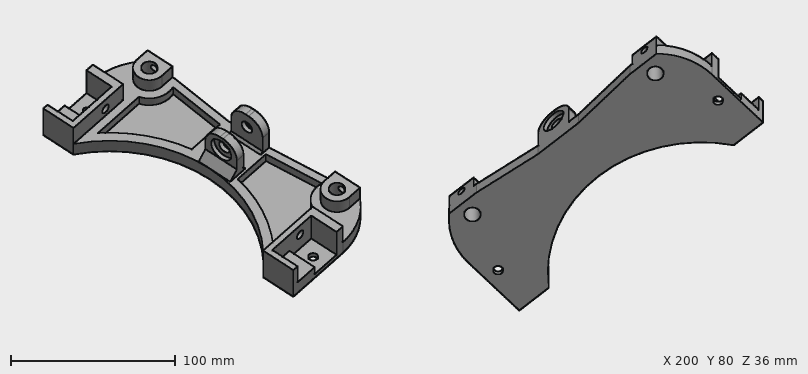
import cadquery as cq
import math

half_length = 100.0
depth = 80.0
plate_height = 10.0
waist_half_width = 16.5
waist_rear_y = 75.2
boss_flat_end_x = 63.0

box_width = 24.2
box_depth = 46.5
box_height = 24.8
box_side_wall = 4.0
box_rear_wall = 6.0
box_floor = 3.5
box_step_y = 20.0
box_step_height = 10.0
box_hole_x = 90.2
box_hole_y = 30.0
floor_hole_diameter = 6.0
wall_hole_diameter = 6.0
wall_hole_z = 16.2

boss_radius = 10.0
boss_x = 75.0
boss_y = depth - boss_radius
boss_top = 20.0
boss_hole_diameter = 10.0
cross_hole_diameter = 5.2
cross_hole_z = (plate_height + boss_top) / 2

front_apex_y = 38.8
arch_half_span = half_length - box_width
arch_radius = (arch_half_span**2 + front_apex_y**2) / (2 * front_apex_y)
arch_center_y = front_apex_y - arch_radius

corner_x = boss_x + boss_radius
corner_inset = half_length - corner_x
corner_rise = depth - box_depth
corner_radius = (corner_inset**2 + corner_rise**2) / (2 * corner_inset)

recess_floor = 3.5
recess_inner_x = 18.5
recess_outer_x = 70.2
recess_front_rim = 6.5
recess_rear_rim = 5.5
recess_boss_rim = 6.0

lug_x = 3.8
lug_width = 25.2
lug_thickness = 6.2
lug_top = 36.0
lug_corner_radius = 11.5
lug_hole_z = 24.8
lug_hole_diameter = 8.5
lug_counterbore_diameter = 16.0
lug_counterbore_depth = 1.5
front_lug_y = 45.0
rear_lug_y = waist_rear_y - lug_thickness
gusset_height = 6.0
inner_chamfer = 1.8


def block(x0, x1, y0, y1, z0, z1):
    """Box between two opposite corners."""
    return cq.Workplane("XY").box(x1 - x0, y1 - y0, z1 - z0, centered=False).translate((x0, y0, z0))


def upright_cylinder(x, y, diameter, z0, z1):
    return cq.Workplane("XY", origin=(x, y, z0)).circle(diameter / 2).extrude(z1 - z0)


def both_sides(body):
    """Body on the +X side together with its mirror image."""
    return body.union(body.mirror("YZ"))


def make_plate():
    middle_angle = math.atan2(corner_rise, corner_radius - corner_inset) / 2
    corner_middle = (
        half_length - corner_radius * (1 - math.cos(middle_angle)),
        box_depth + corner_radius * math.sin(middle_angle),
    )
    return (
        cq.Workplane("XY")
        .moveTo(-arch_half_span, 0)
        .threePointArc((0, front_apex_y), (arch_half_span, 0))
        .lineTo(half_length, 0)
        .lineTo(half_length, box_depth)
        .threePointArc(corner_middle, (corner_x, depth))
        .lineTo(boss_flat_end_x, depth)
        .lineTo(waist_half_width, waist_rear_y)
        .lineTo(-waist_half_width, waist_rear_y)
        .lineTo(-boss_flat_end_x, depth)
        .lineTo(-corner_x, depth)
        .threePointArc((-corner_middle[0], corner_middle[1]), (-half_length, box_depth))
        .lineTo(-half_length, 0)
        .close()
        .extrude(plate_height)
    )


def make_recess():
    """Recess on the +X side, bounded by rims along the plate edges and around the boss."""
    rear_slope = (depth - waist_rear_y) / (boss_flat_end_x - waist_half_width)

    def rear_y(x):
        return waist_rear_y + rear_slope * (x - waist_half_width) - recess_rear_rim

    outline = (
        cq.Workplane("XY", origin=(0, 0, recess_floor))
        .moveTo(recess_inner_x, 0)
        .lineTo(recess_outer_x, 0)
        .lineTo(recess_outer_x, rear_y(recess_outer_x))
        .lineTo(recess_inner_x, rear_y(recess_inner_x))
        .close()
        .extrude(plate_height - recess_floor)
    )
    front_rim = upright_cylinder(0, arch_center_y, 2 * (arch_radius + recess_front_rim), 0, plate_height)
    boss_rim = upright_cylinder(boss_x, boss_y, 2 * (boss_radius + recess_boss_rim), 0, plate_height)
    return outline.cut(front_rim).cut(boss_rim)


def make_boss():
    nose = upright_cylinder(boss_x, boss_y, 2 * boss_radius, 0, boss_top)
    return nose.union(block(boss_x - boss_radius, corner_x, boss_y, depth, 0, boss_top))


def make_end_box():
    """Solid block for the box on the +X end."""
    return block(half_length - box_width, half_length, 0, box_depth, 0, box_height)


def make_end_cavity():
    """Space inside the +X box: open top and outer end, stepped floor, and two holes."""
    inner_x = half_length - box_width
    cavity_x = inner_x + box_side_wall
    cavity_rear = box_depth - box_rear_wall
    upper = block(cavity_x, half_length, box_side_wall, cavity_rear, box_step_height, box_height)
    lower = block(cavity_x, half_length, box_step_y, cavity_rear, box_floor, box_height)
    wall_hole = (
        cq.Workplane("YZ", origin=(inner_x, box_hole_y, wall_hole_z))
        .circle(wall_hole_diameter / 2)
        .extrude(box_side_wall)
    )
    floor_hole = upright_cylinder(box_hole_x, box_hole_y, floor_hole_diameter, 0, box_floor)
    return upper.union(lower).union(wall_hole).union(floor_hole)


def make_lug(front_y):
    left = lug_x - lug_width / 2
    lug = block(left, left + lug_width, front_y, front_y + lug_thickness, 0, lug_top)
    return lug.edges("|Y and >Z").fillet(lug_corner_radius)


def make_gusset(wall_y, reach, height):
    """Sloped foot from a lug face at wall_y; a negative reach points to -Y."""
    return (
        cq.Workplane("YZ", origin=(lug_x - lug_width / 2, 0, 0))
        .moveTo(wall_y, plate_height)
        .lineTo(wall_y + reach, plate_height)
        .lineTo(wall_y, plate_height + height)
        .close()
        .extrude(lug_width)
    )


def make_bore(x, z, diameter, y0, y1):
    """Cylinder along Y from y0 to y1."""
    return (
        cq.Workplane("XZ", origin=(x, y0, z))
        .circle(diameter / 2)
        .extrude(y0 - y1)
    )


result = make_plate().cut(both_sides(make_recess()))
result = result.union(both_sides(make_boss())).union(both_sides(make_end_box()))

result = result.cut(both_sides(make_end_cavity()))
result = result.cut(both_sides(upright_cylinder(boss_x, boss_y, boss_hole_diameter, 0, boss_top)))
result = result.cut(both_sides(make_bore(boss_x, cross_hole_z, cross_hole_diameter, boss_y, depth)))

result = result.union(make_lug(front_lug_y)).union(make_lug(rear_lug_y))
result = result.union(make_gusset(front_lug_y, front_apex_y - front_lug_y, gusset_height))
result = result.union(make_gusset(front_lug_y + lug_thickness, inner_chamfer, inner_chamfer))
result = result.union(make_gusset(rear_lug_y, -inner_chamfer, inner_chamfer))

result = result.cut(make_bore(lug_x, lug_hole_z, lug_hole_diameter, front_lug_y, waist_rear_y))
for outer_y, inward in ((front_lug_y, 2), (waist_rear_y, -2)):
    seat_y = outer_y + inward * lug_counterbore_depth
    result = result.cut(make_bore(lug_x, lug_hole_z, lug_counterbore_diameter, outer_y, seat_y))